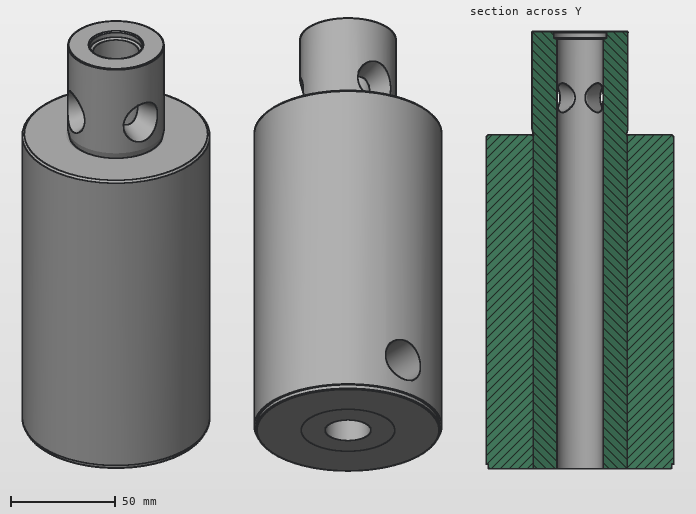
import cadquery as cq

housing_diameter = 90.0
housing_radius = housing_diameter / 2
housing_height = 160.2
top_chamfer = 1.0
foot_radius = 44.0
foot_height = 2.3
foot_chamfer = 0.5

port_radius = 10.5
port_height = 19.7

overall_height = 209.7
head_radius = 23.0
shaft_radius = 22.5
head_chamfer = 0.5
neck_height = 2.7
bore_diameter = 22.0
bore_radius = bore_diameter / 2

mouth_radius = 12.5
mouth_depth = 3.1
mouth_chamfer = 0.6
seat_depth = 0.6

rim_width = 1.5
rim_depth = 0.5

rear_hole_angle = 90.0
front_angle = 270.0
front_hole_offset = 50.0
cross_hole_drop = 31.9
cross_hole_outer_radius = 10.5
cross_hole_inner_radius = 6.7
cross_hole_taper_end = 10.0


def revolve_profile(points):
    """Turn a closed (radius, height) outline around the Z axis."""
    return cq.Workplane("XZ").polyline(points).close().revolve(360, (0, 0, 0), (0, 1, 0))


def make_housing():
    sleeve = revolve_profile([
        (shaft_radius, 0),
        (foot_radius - foot_chamfer, 0),
        (foot_radius, foot_chamfer),
        (foot_radius, foot_height),
        (housing_radius, foot_height),
        (housing_radius, housing_height - top_chamfer),
        (housing_radius - top_chamfer, housing_height),
        (shaft_radius + rim_width, housing_height),
        (shaft_radius, housing_height - rim_depth),
    ])
    port_start = cq.Vector(0, 0, port_height)
    port_direction = cq.Vector(0, 1, 0)
    port = cq.Solid.makeCylinder(port_radius, housing_radius, port_start, port_direction)
    return sleeve.cut(cq.Workplane(port))


def make_cross_hole(angle):
    """A radial hole: straight near the bore, then a cone that widens out past the head surface."""
    taper = (cross_hole_outer_radius - cross_hole_inner_radius) / (head_radius - cross_hole_taper_end)
    reach = 2 * head_radius
    reach_radius = cross_hole_outer_radius + taper * (reach - head_radius)
    hole = revolve_profile([
        (0, 0),
        (cross_hole_inner_radius, 0),
        (cross_hole_inner_radius, cross_hole_taper_end),
        (reach_radius, reach),
        (0, reach),
    ])
    tipped_to_x = hole.rotate((0, 0, 0), (0, 1, 0), 90)
    turned = tipped_to_x.rotate((0, 0, 0), (0, 0, 1), angle)
    return turned.translate((0, 0, overall_height - cross_hole_drop))


def make_rod():
    mouth_bottom = overall_height - mouth_depth
    rod = revolve_profile([
        (bore_radius, 0),
        (shaft_radius, 0),
        (shaft_radius, housing_height),
        (head_radius, housing_height + neck_height),
        (head_radius, overall_height - head_chamfer),
        (head_radius - head_chamfer, overall_height),
        (mouth_radius + mouth_chamfer, overall_height),
        (mouth_radius, overall_height - mouth_chamfer),
        (mouth_radius, mouth_bottom),
        (bore_radius, mouth_bottom - seat_depth),
    ])
    for angle in (rear_hole_angle, front_angle - front_hole_offset, front_angle + front_hole_offset):
        rod = rod.cut(make_cross_hole(angle))
    return rod


housing = make_housing()
rod = make_rod()
result = cq.Compound.makeCompound([housing.val(), rod.val()])